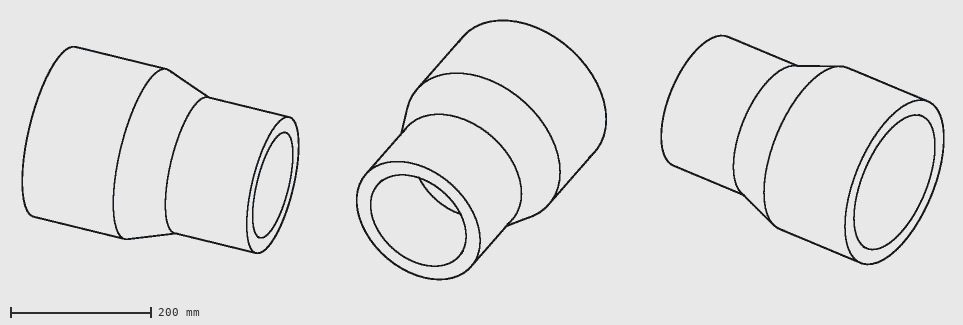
import cadquery as cq

large_outer_diameter = 250.0
large_bore_diameter = 204.6
small_outer_diameter = 200.0
small_bore_diameter = 154.6

large_end_length = 140.0
cone_length = 70.0
small_end_length = 125.0
total_length = large_end_length + cone_length + small_end_length

bore_cone_advance = 5.0


def stepped_body(large_diameter, small_diameter, cone_start):
    """Solid of revolution about X: large cylinder, cone, small cylinder."""
    large_radius = large_diameter / 2
    small_radius = small_diameter / 2
    cone_end = cone_start + cone_length
    return (
        cq.Workplane("XY")
        .moveTo(0, 0)
        .lineTo(0, large_radius)
        .lineTo(cone_start, large_radius)
        .lineTo(cone_end, small_radius)
        .lineTo(total_length, small_radius)
        .lineTo(total_length, 0)
        .close()
        .revolve(360, (0, 0, 0), (1, 0, 0))
    )


outside = stepped_body(large_outer_diameter, small_outer_diameter, large_end_length)
bore = stepped_body(
    large_bore_diameter,
    small_bore_diameter,
    large_end_length - bore_cone_advance,
)

result = outside.cut(bore)